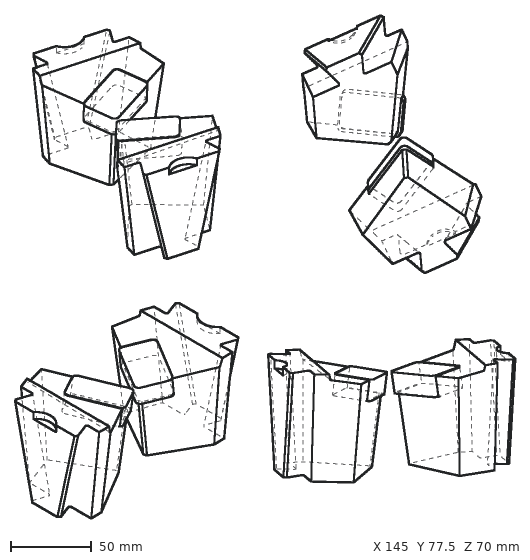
import cadquery as cq
import math


HALF_LENGTH = 72.5
HEIGHT = 70.0
WALL_DRAFT = 0.1

FRONT_ANGLE = -90.0
FRONT_DISTANCE = 33.9
SLANT_ANGLE = -60.0
SLANT_DISTANCE = 41.6
INNER_ANGLE = 30.0
INNER_DISTANCE = 58.1
BACK_ANGLE = 110.0
BACK_DISTANCE = 27.4
TIP_CHAMFER = 1.9

TONGUE_DEPTH = 13.6
TONGUE_HALF_WIDTH = 27.1
TONGUE_FLANK_ANGLE = 20.0
TONGUE_TAPER_ANGLE = 12.0
TONGUE_CORNER_X = 1.9
TONGUE_CORNER_Y = 1.3
TONGUE_ROOT_RADIUS = 1.2

RECESS_RADIUS = 12.3
RECESS_REACH = 5.0
RECESS_DEPTH = 5.2

STEP_X = 22.3
STEP_ANGLE = 15.0
STEP_FOOT_RADIUS = 0.7
SEAT_TIP_HEIGHT = 58.5

PAD_LENGTH = 39.5
PAD_WIDTH = 24.8
PAD_THICKNESS = 13.8
PAD_CORNER_RADIUS = 3.3
PAD_OVERHANG = 1.9
PAD_PROUD = 0.5

CUTTER_SIZE = 289.9


def plan_direction(angle):
    return math.cos(math.radians(angle)), math.sin(math.radians(angle))


def wall_normal(angle):
    """Normal of a drafted wall; only its direction matters."""
    return cq.Vector(*plan_direction(angle), -WALL_DRAFT)


def meet(wall_a, wall_b):
    """Plan point where two walls, given as (normal angle, distance), cross."""
    ax, ay = plan_direction(wall_a[0])
    bx, by = plan_direction(wall_b[0])
    det = ax * by - ay * bx
    x = (wall_a[1] * by - wall_b[1] * ay) / det
    y = (ax * wall_b[1] - bx * wall_a[1]) / det
    return x - HALF_LENGTH, y


def drafted_wall(angle, distance, z):
    return angle, distance - WALL_DRAFT * (HEIGHT - z)


def sharp_tip(z):
    """Corner of the slanted and inner walls before the flat is taken off."""
    return meet(
        drafted_wall(SLANT_ANGLE, SLANT_DISTANCE, z),
        drafted_wall(INNER_ANGLE, INNER_DISTANCE, z),
    )


def loft_outlines(bottom, top):
    return (
        cq.Workplane("XY").polyline(bottom).close()
        .workplane(offset=HEIGHT).polyline(top).close()
        .loft(ruled=True, combine=True)
    )


def head_outline(z):
    shoulder = (180.0, -TONGUE_DEPTH)
    front = drafted_wall(FRONT_ANGLE, FRONT_DISTANCE, z)
    slant = drafted_wall(SLANT_ANGLE, SLANT_DISTANCE, z)
    inner = drafted_wall(INNER_ANGLE, INNER_DISTANCE, z)
    back = drafted_wall(BACK_ANGLE, BACK_DISTANCE, z)
    tip_x, tip_y = sharp_tip(z)
    inner_x, inner_y = plan_direction(INNER_ANGLE)
    slant_x, slant_y = plan_direction(SLANT_ANGLE)
    return [
        meet(shoulder, front),
        meet(front, slant),
        (tip_x - TIP_CHAMFER * inner_x, tip_y - TIP_CHAMFER * inner_y),
        (tip_x - TIP_CHAMFER * slant_x, tip_y - TIP_CHAMFER * slant_y),
        meet(inner, back),
        meet(back, shoulder),
    ]


def tongue_outline(z):
    half_width = TONGUE_HALF_WIDTH - (HEIGHT - z) * math.tan(math.radians(TONGUE_TAPER_ANGLE))
    flank_run = TONGUE_DEPTH - TONGUE_CORNER_X
    root_half_width = half_width - flank_run * math.tan(math.radians(TONGUE_FLANK_ANGLE))
    one_side = [
        (-HALF_LENGTH + TONGUE_DEPTH, root_half_width),
        (-HALF_LENGTH + TONGUE_CORNER_X, half_width),
        (-HALF_LENGTH, half_width - TONGUE_CORNER_Y),
    ]
    return one_side + [(x, -y) for x, y in reversed(one_side)]


def make_blank():
    head = loft_outlines(head_outline(0), head_outline(HEIGHT))
    tongue = loft_outlines(tongue_outline(0), tongue_outline(HEIGHT))
    blank = head.union(tongue)
    root_x, root_y = tongue_outline(HEIGHT / 2)[0]
    for side in (-1, 1):
        root_edge = cq.NearestToPointSelector((root_x, side * root_y, HEIGHT / 2))
        blank = blank.edges(root_edge).fillet(TONGUE_ROOT_RADIUS)
    return blank


def make_recess():
    return (
        cq.Workplane("XY", origin=(-HALF_LENGTH + RECESS_REACH - RECESS_RADIUS, 0, HEIGHT - RECESS_DEPTH))
        .circle(RECESS_RADIUS)
        .extrude(RECESS_DEPTH)
    )


def make_seat_plane():
    """Plane square to the tip edge: origin at the sharp tip, x along the inner wall, y into the jaw."""
    inner_normal = wall_normal(INNER_ANGLE)
    tip_edge = wall_normal(SLANT_ANGLE).cross(inner_normal)
    along_inner = tip_edge.cross(inner_normal)
    origin = (*sharp_tip(SEAT_TIP_HEIGHT), SEAT_TIP_HEIGHT)
    return cq.Plane(origin=origin, xDir=along_inner, normal=tip_edge)


SEAT = make_seat_plane()


def make_seat_cut():
    """Everything above the seat and inward of the leaning step wall."""
    above_seat = cq.Workplane(SEAT).rect(CUTTER_SIZE, CUTTER_SIZE).extrude(CUTTER_SIZE)
    step_x = -HALF_LENGTH + STEP_X
    foot_x = step_x + HEIGHT * math.tan(math.radians(STEP_ANGLE))
    beyond_step = (
        cq.Workplane("XZ")
        .polyline([(step_x, HEIGHT), (foot_x, 0), (CUTTER_SIZE, 0), (CUTTER_SIZE, HEIGHT)])
        .close()
        .extrude(CUTTER_SIZE / 2, both=True)
    )
    cut = above_seat.intersect(beyond_step)
    foot_edge = cq.NearestToPointSelector((step_x, 0, HEIGHT - RECESS_DEPTH))
    return cut.edges(foot_edge).fillet(STEP_FOOT_RADIUS)


def make_pad():
    return (
        cq.Workplane(SEAT)
        .workplane(offset=PAD_PROUD)
        .center(PAD_LENGTH / 2 - PAD_OVERHANG, PAD_WIDTH / 2 - PAD_OVERHANG)
        .rect(PAD_LENGTH, PAD_WIDTH)
        .extrude(-PAD_THICKNESS)
        .edges(cq.selectors.ParallelDirSelector(SEAT.zDir))
        .fillet(PAD_CORNER_RADIUS)
    )


def make_jaw(pad):
    return make_blank().cut(make_recess()).cut(make_seat_cut()).cut(pad)


left_pad = make_pad()
left_jaw = make_jaw(left_pad)

bodies = []
for left_body in (left_jaw, left_pad):
    bodies.append(left_body.solids().val())
    bodies.append(left_body.mirror("YZ").solids().val())

result = cq.Compound.makeCompound(bodies)